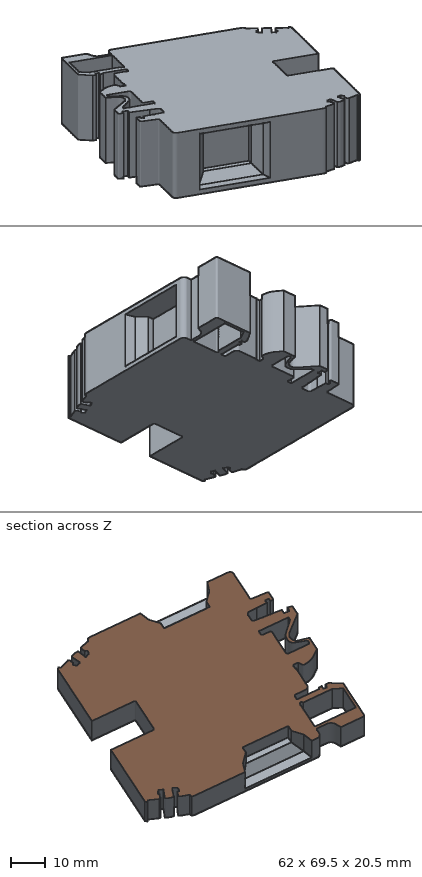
import cadquery as cq
import math


width = 62.0
height = 69.5
thickness = 20.5
mid_x = width / 2

body_base = 9.4
foot_root = 14.3
gap_top = 12.6
wall = 0.95
overlap = 1.0
notch_bottom = 4.8
notch_top = 5.9

step_x = 16.05
corner_radius = 1.2
shoulder_y = 56.2
slot_width = 11.1
slot_depth = 14.3
slot_radius = 0.4

foot_neck_x = 2.95
foot_outer_x = 15.03
foot_inner_x = 14.55
foot_notch_x = 14.0
window_left = 3.95
window_right = 12.6
relief_radius = 0.45

hook_root_x = 25.2
hook_tip_x = 23.7
hook_relief_width = 1.4
hook_relief_height = 0.2
spring_left = 29.4
spring_right = 40.05
pocket_neck_left = 38.55

latch_notch_x = 42.0
latch_notch_top = 3.28
latch_gap_left = 44.0
latch_gap_right = 47.15
short_leg_inner_x = 47.4
short_leg_notch_x = 48.35
short_leg_outer_x = 50.9
short_leg_tip = 3.7
short_leg_tip_radius = 0.3

entry_y = 28.45
entry_top = 19.0
entry_bottom = 1.5
entry_inner_bottom = 4.3
entry_mouth_width = 21.9
entry_throat_width = 19.9
entry_inner_width = 14.9
entry_mouth_depth = 3.0
entry_taper_depth = 2.8
entry_end_depth = 1.9


def toward(start, end, distance):
    """Point at a distance from start on the way to end."""
    share = distance / math.dist(start, end)
    return (start[0] + (end[0] - start[0]) * share, start[1] + (end[1] - start[1]) * share)


def plate(corners):
    """Full-thickness prism; each corner is (x, y), or (x, y, radius) where it is rounded."""
    stretches = []
    for i, corner in enumerate(corners):
        point = corner[:2]
        if len(corner) == 2:
            stretches.append((point,))
            continue
        radius = corner[2]
        before = corners[i - 1][:2]
        after = corners[(i + 1) % len(corners)][:2]
        to_before = toward((0, 0), (before[0] - point[0], before[1] - point[1]), 1)
        to_after = toward((0, 0), (after[0] - point[0], after[1] - point[1]), 1)
        half_angle = math.acos(to_before[0] * to_after[0] + to_before[1] * to_after[1]) / 2
        setback = radius / math.tan(half_angle)
        bisector = (point[0] + to_before[0] + to_after[0], point[1] + to_before[1] + to_after[1])
        middle = toward(point, bisector, radius / math.sin(half_angle) - radius)
        stretches.append((toward(point, before, setback), middle, toward(point, after, setback)))

    outline = cq.Workplane("XY").moveTo(*stretches[0][-1])
    for stretch in stretches[1:] + stretches[:1]:
        outline = outline.lineTo(*stretch[0])
        if len(stretch) > 1:
            outline = outline.threePointArc(*stretch[1:])
    return outline.close().extrude(thickness)


def make_housing():
    """Housing with sloped, twice-notched shoulders and a slot in the middle of the top."""
    left_shoulder = [
        (0, shoulder_y, 4),
        (0.2, 56.9),
        (0.95, 57.1),
        (1.95, 60.3, 0.4),
        (3.7, 59.7),
        (3.7, 59.0, 0.2),
        (4.75, 59.0, 0.5),
        (5.4, 60.35),
        (2.6, 61.35),
        (2.7, 62.4),
        (3.3, 64.0, 0.3),
        (6.2, 62.85),
        (6.75, 64.05),
        (5.95, 64.85),
        (5.4, 64.55),
        (4.0, 64.95, 0.3),
        (3.95, 65.5),
        (5.15, 68.5),
        (4.75, 68.75),
        (4.7, 69.05),
        (5.15, height),
    ]
    slot_edge = mid_x - slot_width / 2
    slot_floor = height - slot_depth
    left_half = left_shoulder + [(slot_edge, height), (slot_edge, slot_floor, slot_radius)]
    right_half = [(width - corner[0], *corner[1:]) for corner in reversed(left_half)]
    underside = [
        (width, body_base, corner_radius),
        (step_x, body_base, corner_radius),
        (step_x, foot_root, 0.4),
        (0, foot_root, 1.4),
    ]
    return plate(left_half + right_half + underside)


def make_foot():
    """Fixed foot: a hollow frame with a latching notch on its inner side."""
    foot = plate([
        (0, 0, 0.5),
        (12.9, 0, 0.5),
        (foot_outer_x, 3.63),
        (foot_outer_x, notch_bottom, 0.2),
        (foot_notch_x, notch_bottom),
        (foot_notch_x, notch_top),
        (foot_outer_x, notch_top),
        (foot_outer_x, 7.0, 0.2),
        (foot_inner_x, 7.0),
        (foot_inner_x, foot_root + overlap),
        (foot_neck_x, foot_root + overlap),
        (foot_neck_x, 9.4, 2.5),
        (0, 7.95),
    ])
    window = plate([
        (window_left, wall),
        (11.25, wall),
        (window_right, 3.75),
        (window_right, foot_root),
        (window_left, foot_root),
    ])
    relief = (
        cq.Workplane("XY")
        .center(window_right, foot_root - relief_radius)
        .circle(relief_radius)
        .extrude(thickness)
    )
    return foot.cut(window).cut(relief)


def make_hook_and_spring():
    """Hook, arched spring and latch as one leg, still solid above the spring."""
    return plate([
        (hook_root_x, gap_top),
        (hook_root_x, 8.0),
        (hook_tip_x, 7.1, 0.4),
        (24.05, 4.2, 6),
        (26.65, wall),
        (31.15, wall),
        (32.86, 8.0, 2.0),
        (39.85, 0),
        (43.0, 0, 0.4),
        (43.25, 1.55),
        (latch_notch_x, 1.65),
        (latch_notch_x, latch_notch_top),
        (43.35, latch_notch_top),
        (latch_gap_left, gap_top),
    ])


def make_short_leg():
    """Short tapered leg with a latching notch, opposite the latch."""
    root_x = short_leg_outer_x + overlap
    return plate([
        (latch_gap_right, gap_top),
        (short_leg_inner_x, notch_top),
        (short_leg_notch_x, notch_top),
        (short_leg_notch_x, notch_bottom, 0.3),
        (short_leg_inner_x, notch_bottom),
        (short_leg_inner_x, short_leg_tip, short_leg_tip_radius),
        (50.55, short_leg_tip, short_leg_tip_radius),
        (short_leg_outer_x, body_base, 0.3),
        (root_x, body_base),
        (root_x, gap_top),
    ])


def make_spring_pocket():
    """Opening above the arched spring, with a narrow extension into the housing."""
    return plate([
        (spring_left, body_base, 0.7),
        (pocket_neck_left, body_base, 0.6),
        (pocket_neck_left, gap_top, 0.4),
        (spring_right, gap_top),
        (spring_right, 2.95),
        (39.2, 2.95),
        (35.2, 6.8, 1.5),
        (32.1, 7.1, 2.0),
        (30.45, 1.95, 0.5),
        (spring_left, 1.95, 0.4),
    ])


def make_latch_gap():
    """Tapered gap between the latch and the short leg."""
    return plate([
        (43.78, body_base),
        (latch_gap_left, gap_top, 0.7),
        (latch_gap_right, gap_top, 0.7),
        (47.27, body_base),
    ])


def make_hook_relief():
    """Shallow relief in the underside of the housing beside the hook."""
    corner = (hook_root_x - hook_relief_width, body_base, 0)
    return cq.Workplane("XY", origin=corner).box(
        hook_relief_width, hook_relief_height, thickness, centered=False
    )


def make_wire_entry():
    """Funnel in the -X side: wide mouth, tapered middle and straight end."""
    mouth_end = entry_mouth_depth
    taper_end = mouth_end + entry_taper_depth
    entry_end = taper_end + entry_end_depth

    def section(x, section_width, bottom):
        section_height = entry_top - bottom
        middle = (x, entry_y, bottom + section_height / 2)
        return cq.Workplane("YZ", origin=middle).rect(section_width, section_height).wires().val()

    mouth = section(0, entry_mouth_width, entry_bottom)
    throat = section(mouth_end, entry_throat_width, entry_bottom)
    inner = section(taper_end, entry_inner_width, entry_inner_bottom)
    end = section(entry_end, entry_inner_width, entry_inner_bottom)
    return cq.Workplane(cq.Solid.makeLoft([mouth, throat, inner, end], True))


legs = make_foot().union(make_hook_and_spring()).union(make_short_leg())
block = make_housing().union(legs)

for opening in (make_spring_pocket(), make_latch_gap(), make_hook_relief()):
    block = block.cut(opening)

left_entry = make_wire_entry()
right_entry = left_entry.mirror("YZ", (mid_x, 0, 0))
result = block.cut(left_entry).cut(right_entry)